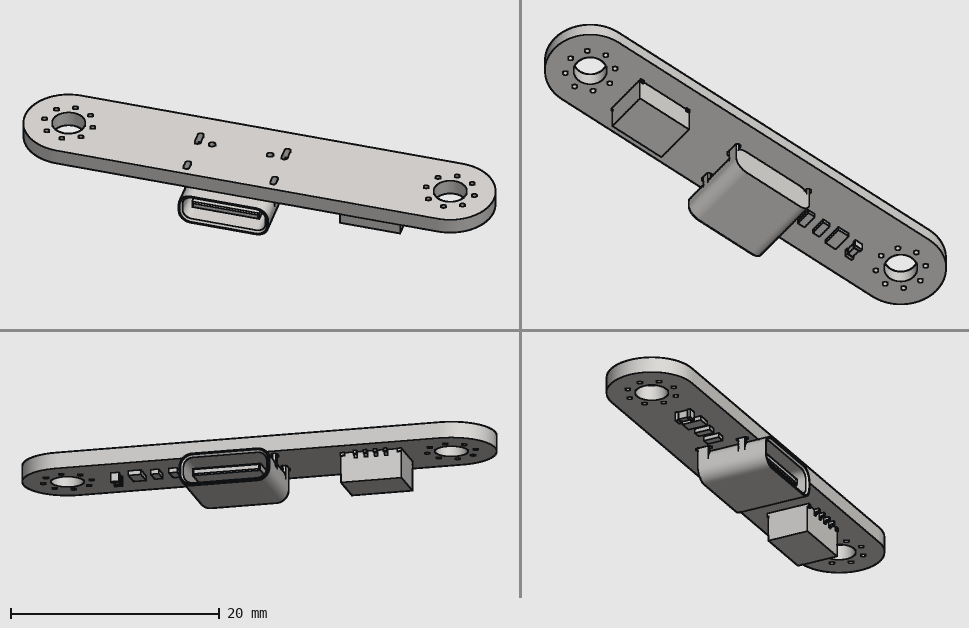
import cadquery as cq


board_width = 8.7
board_thickness = 1.6
end_spacing = 38.0
board_length = end_spacing + board_width
end_hole_diameter = 3.2
ring_radius = 2.4
ring_hole_diameter = 0.5
ring_hole_count = 8

usb_center_x = -2.0
usb_width = 8.94
usb_height = 3.26
usb_length = 7.35
usb_rear_y = 1.7
usb_front_y = usb_rear_y - usb_length
usb_corner_radius = 1.26
usb_wall = 0.35
usb_cavity_depth = 6.2
mouth_chamfer = 0.22
tongue_width = 6.69
tongue_thickness = 0.7
tongue_setback = 0.7
tongue_tip_chamfer = 0.13

leg_thickness = 0.3
leg_rise = 0.9
rear_leg_length = 1.12
rear_leg_y = usb_rear_y - rear_leg_length / 2
rear_leg_chamfer = 0.24
front_leg_length = 0.7
front_leg_y = -3.04
front_leg_chamfer = 0.17
leg_slot_spacing = 8.64
leg_slot_width = 0.6
rear_slot_length = 1.7
rear_slot_y = 1.13
front_slot_length = 1.2
front_slot_y = -3.05

peg_spacing = 5.78
peg_y = 0.61
peg_diameter = 0.5
peg_hole_diameter = 0.65
peg_rise = 0.8
peg_chamfer = 0.12

header_center_x = 11.6
header_width = 6.0
header_depth = 4.25
header_height = 2.95
lead_count = 4
lead_pitch = 1.0
lead_width = 0.3
lead_reach = 0.5
lead_foot_length = 0.25
lead_foot_height = 0.3
lead_root_height = 0.58
tab_width = 0.4
tab_height = 0.3
tab_reach = 0.14

chip_y = -0.85
capacitor_x = -13.9
capacitor_length = 1.6
capacitor_width = 0.8
capacitor_height = 0.88
capacitor_terminal = 0.32
capacitor_inset = 0.1
large_resistor_x = -11.88
large_resistor_size = (1.25, 2.0, 0.45)
small_resistor_size = (0.8, 1.6, 0.45)
small_resistor_positions = (-9.95, -8.13)


def block(x_size, y_size, z_size, x, y, z_bottom):
    """Box centred on x and y, standing on z_bottom."""
    return cq.Workplane("XY", origin=(x, y, z_bottom)).box(
        x_size, y_size, z_size, centered=(True, True, False)
    )


def slot_cutter(length, y):
    """Pair of round-ended slots along Y, one on each side of the receptacle."""
    half = leg_slot_spacing / 2
    return (
        cq.Workplane("XY")
        .pushPoints([(usb_center_x - half, y), (usb_center_x + half, y)])
        .slot2D(length, leg_slot_width, 90)
        .extrude(board_thickness)
    )


def make_board():
    ends = [(-end_spacing / 2, 0), (end_spacing / 2, 0)]
    board = cq.Workplane("XY").slot2D(board_length, board_width).extrude(board_thickness)
    board = board.faces(">Z").workplane(origin=(0, 0, 0)).pushPoints(ends).hole(end_hole_diameter)
    for end_x, _ in ends:
        board = (
            board.faces(">Z").workplane(origin=(end_x, 0, 0))
            .polarArray(ring_radius, 0, 360, ring_hole_count)
            .hole(ring_hole_diameter)
        )
    board = (
        board.faces(">Z").workplane(origin=(usb_center_x, peg_y, 0))
        .pushPoints([(-peg_spacing / 2, 0), (peg_spacing / 2, 0)])
        .hole(peg_hole_diameter)
    )
    board = board.cut(slot_cutter(rear_slot_length, rear_slot_y))
    return board.cut(slot_cutter(front_slot_length, front_slot_y))


def make_leg(side, y, length, tip_chamfer):
    """Shell leg on one side (-1 or +1), from the straight part of the shell wall up into its slot."""
    z_bottom = -usb_height / 2
    x = usb_center_x + side * (usb_width - leg_thickness) / 2
    leg = block(leg_thickness, length, leg_rise - z_bottom, x, y, z_bottom)
    return leg.faces(">Z").edges("|X").chamfer(tip_chamfer)


def make_usb():
    shell = block(usb_width, usb_length, usb_height, usb_center_x, usb_rear_y - usb_length / 2, -usb_height)
    shell = shell.edges("|Y").fillet(usb_corner_radius)

    cavity = block(
        usb_width - 2 * usb_wall, usb_cavity_depth, usb_height - 2 * usb_wall,
        usb_center_x, usb_front_y + usb_cavity_depth / 2, usb_wall - usb_height,
    ).edges("|Y").fillet(usb_corner_radius - usb_wall)
    shell = shell.cut(cavity)
    rim = shell.faces("<Y").wires().vals()
    inner_rim = min(rim, key=lambda wire: wire.Length())
    shell = shell.newObject(inner_rim.Edges()).chamfer(mouth_chamfer)

    tongue_length = usb_cavity_depth - tongue_setback
    tongue = block(
        tongue_width, tongue_length, tongue_thickness,
        usb_center_x, usb_front_y + tongue_setback + tongue_length / 2, -(usb_height + tongue_thickness) / 2,
    ).faces("<Y").chamfer(tongue_tip_chamfer)
    usb = shell.union(tongue)

    for side in (-1, 1):
        usb = usb.union(make_leg(side, rear_leg_y, rear_leg_length, rear_leg_chamfer))
        usb = usb.union(make_leg(side, front_leg_y, front_leg_length, front_leg_chamfer))
        peg = (
            cq.Workplane("XY", origin=(usb_center_x + side * peg_spacing / 2, peg_y, -usb_wall))
            .circle(peg_diameter / 2)
            .extrude(peg_rise + usb_wall)
            .faces(">Z").chamfer(peg_chamfer)
        )
        usb = usb.union(peg)
    return usb


def make_header():
    front_y = -header_depth / 2
    header = block(header_width, header_depth, header_height, header_center_x, 0, -header_height)

    for index in range(lead_count):
        lead_x = header_center_x + (index - (lead_count - 1) / 2) * lead_pitch
        tip_y = front_y - lead_reach
        lead = (
            cq.Workplane("YZ", origin=(lead_x - lead_width / 2, 0, 0))
            .moveTo(front_y, 0)
            .lineTo(tip_y, 0)
            .lineTo(tip_y, -lead_foot_height)
            .lineTo(tip_y + lead_foot_length, -lead_foot_height)
            .lineTo(front_y, -lead_root_height)
            .close()
            .extrude(lead_width)
        )
        header = header.union(lead)

    for side in (-1, 1):
        tab_x = header_center_x + side * (header_width - tab_width) / 2
        tab_length = header_depth + 2 * tab_reach
        header = header.union(block(tab_width, tab_length, tab_height, tab_x, 0, -tab_height))
    return header


def make_capacitor():
    core_width = capacitor_width - 2 * capacitor_inset
    core_height = capacitor_height - capacitor_inset
    capacitor = block(core_width, capacitor_length, core_height, capacitor_x, chip_y, -core_height)
    for side in (-1, 1):
        terminal_y = chip_y + side * (capacitor_length - capacitor_terminal) / 2
        capacitor = capacitor.union(
            block(
                capacitor_width, capacitor_terminal, capacitor_height,
                capacitor_x, terminal_y, -capacitor_height,
            )
        )
    return capacitor


def make_resistor(x, size):
    x_size, y_size, z_size = size
    return block(x_size, y_size, z_size, x, chip_y, -z_size)


board = make_board()
usb = make_usb()
header = make_header()
capacitor = make_capacitor()
large_resistor = make_resistor(large_resistor_x, large_resistor_size)
small_resistors = [make_resistor(x, small_resistor_size) for x in small_resistor_positions]

result = cq.Compound.makeCompound(
    [
        board.val(),
        usb.val(),
        header.val(),
        capacitor.val(),
        large_resistor.val(),
        *[resistor.val() for resistor in small_resistors],
    ]
)